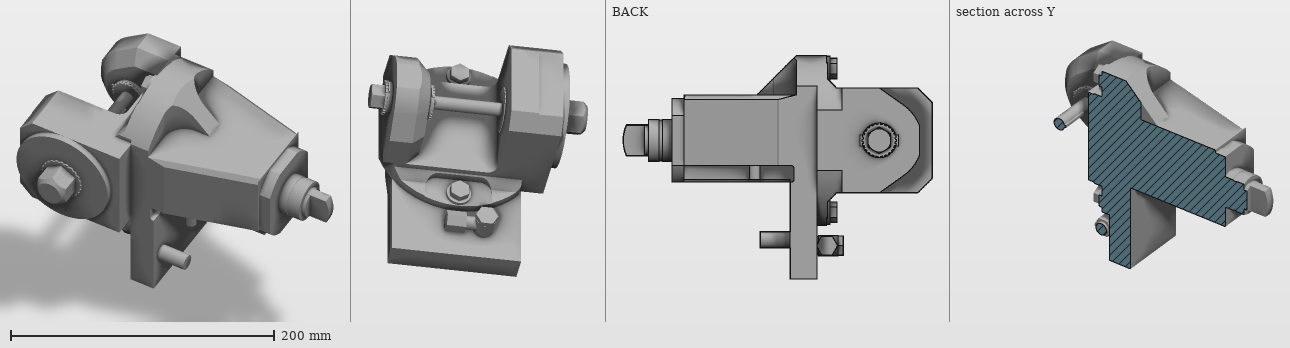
import cadquery as cq
import math


MARGIN = 2.4

PIVOT_X = -47.3
FORK_HALF_HEIGHT = 40.0
FORK_END_X = -87.7
FORK_CORNER = 11.3
NEAR_ARM_STEP = 0.7
NEAR_ARM_Y = (-66.8, -26.3)
NEAR_ARM_STEP_Y = -47.5
FAR_ARM_Y = (33.0, 60.5)
FAR_ARM_END_X = -77.8
FAR_ARM_SHOULDER = (-66.0, 26.5)
FAR_ARM_CHAMFER = 9.9
FAR_ARM_TURNED_X = -19.0
WEB_FACE_X = -19.7
WEB_BACK_X = -14.8
FORK_FILLET = 7.3
FLARE_DEPTH = 7.0
FLARE_NEAR_Y = -47.7

FLANGE_RADIUS = 64.7
FLANGE_FRONT_X = WEB_BACK_X + FLARE_DEPTH
FLANGE_BACK_X = 15.5
PLATE_THICKNESS = 20.5
PLATE_HALF_WIDTH = 49.8
PLATE_BOTTOM_Z = -105.3

BOLT_Z = 54.5
BOLT_POCKET_HALF_WIDTH = 25.9
BOLT_POCKET_FLOOR = 41.0
BOLT_POCKET_RADIUS = 9.5
BOLT_POCKET_FACE_X = -7.0
BOLT_WASHER_RADIUS = 9.5
BOLT_WASHER_FACE_X = -9.9
BOLT_HEAD_FLATS = 13.6
BOLT_HEAD_FACE_X = -15.3

HOUSING_TOP_Z = 34.5
HOUSING_BOTTOM_Z = -31.7
TAPER_START_X = 29.6
TAPER_END_X = 101.0
TAPER_END_HALF_WIDTH = 30.8
HOUSING_BEVEL = 3.5
UNDERCUT_TOP_Z = -19.0
UNDERCUT_START_X = 17.5
UNDERCUT_RADIUS = 2.5
KEEL_HALF_WIDTH = 22.8
KEEL_CHAMFER = 1.9
PIN_X = 47.3
PIN_Y = 39.3
PIN_RADIUS = 4.0
PIN_BOTTOM_Z = -29.9

RIB_HALF_WIDTH = 7.5
RIB_FLARE_RADIUS = 17.6

CAP_END_X = 110.3
CAP_HALF_WIDTH = 29.0
CAP_TOP_Z = 32.0
CAP_RADIUS = 34.5
COLLAR_RADIUS = 16.0
COLLAR_END_X = 128.1
GROOVE_X = (117.3, 120.1)
GROOVE_DEPTH = 0.5
NECK_RADIUS = 11.8
NECK_END_X = 131.0
TONGUE_END_X = 147.5
TONGUE_SHOULDER_X = 144.8
TONGUE_RADIUS = 12.0
TONGUE_HALF_THICKNESS = 3.8

ROD_RADIUS = 5.2
ROD_KEY_Y = (-25.0, 15.3)
ROD_KEY_HEIGHT = 1.5
ROD_KEY_HALF_WIDTH = 1.2
DISC_END_Y = -71.7
LARGE_WASHER_RADIUS = 17.5
LARGE_WASHER_END_Y = -73.1
INNER_WASHER_END_Y = -25.6
LARGE_NUT_FLATS = 24.2
LARGE_NUT_END_Y = -91.0
LARGE_NUT_CHAMFER = 4.2
SMALL_NUT_FLATS = 17.5
SMALL_NUT_END_Y = 75.5
SMALL_NUT_CHAMFER = 1.2
SEAT_RADIUS = 12.5
SEAT_HEIGHT = 2.4
TAB_RADIUS = 13.2
TAB_REACH = 14.8
TAB_HALF_WIDTH = 4.2
TAB_THICKNESS = 1.0
STAR_THICKNESS = 1.9
TOOTH_COUNT = 24
TOOTH_HEIGHT = 1.0

ELBOW_Y = -20.0
ELBOW_Z = -80.0
ELBOW_HEX_FLATS = 14.8
ELBOW_HEX_X = (-20.0, -15.8)
ELBOW_BODY_RADIUS = 7.8
ELBOW_BODY_END_X = -1.2
ELBOW_NECK_RADIUS = 7.0
SIDE_HEX_FLATS = 14.0
SIDE_HEX_X = -7.5
SIDE_HEX_Y = (-5.5, 9.6)
SIDE_TUBE_RADIUS = 5.2
STUB_Y = -38.3
STUB_Z = -75.5
STUB_RADIUS = 6.0
STUB_END_X = 43.3


def block(x, y, z):
    """Box given by its two limits along each axis, in either order."""
    lowest = cq.Vector(min(x), min(y), min(z))
    return cq.Workplane(cq.Solid.makeBox(abs(x[1] - x[0]), abs(y[1] - y[0]), abs(z[1] - z[0]), lowest))


def rod_x(start, end, radius, y=0.0, z=0.0):
    """Cylinder along X."""
    return cq.Workplane("YZ", origin=(start, y, z)).circle(radius).extrude(end - start)


def rod_y(start, end, radius, x=PIVOT_X, z=0.0):
    """Cylinder along Y."""
    return cq.Workplane("XZ", origin=(x, start, z)).circle(radius).extrude(start - end)


def hexagon(plane, origin, flats, length, turn=0.0):
    """Hexagonal prism of the given width across flats."""
    corner_diameter = flats / math.cos(math.pi / 6)
    sketch = cq.Workplane(plane, origin=origin).transformed(rotate=(0, 0, turn))
    return sketch.polygon(6, corner_diameter).extrude(length)


def pivot_nut(start, end, flats, chamfer):
    """Nut on the clamping rod, with its outer corners turned down at 45 degrees."""
    corner_radius = flats / 2 / math.cos(math.pi / 6)
    envelope = rod_y(start, end, corner_radius)
    outer_face = "<Y" if end < start else ">Y"
    envelope = envelope.faces(outer_face).chamfer(chamfer)
    prism = hexagon("XZ", (PIVOT_X, start, 0), flats, start - end, turn=90)
    return prism.intersect(envelope)


def star_washer(start, end, radius):
    """Washer on the clamping rod with teeth around its rim."""
    washer = rod_y(start, end, radius - TOOTH_HEIGHT)
    tooth_width = math.pi * radius / TOOTH_COUNT
    teeth = (
        cq.Workplane("XZ", origin=(PIVOT_X, start, 0))
        .polarArray(radius - TOOTH_HEIGHT, 0, 360, TOOTH_COUNT)
        .rect(2 * TOOTH_HEIGHT, tooth_width)
        .extrude(start - end)
    )
    return washer.union(teeth)


def near_arm():
    """Arm under the large nut, ending slightly shorter on its outer half."""
    height = (-FORK_HALF_HEIGHT, FORK_HALF_HEIGHT)
    arm = block((FORK_END_X, 0), NEAR_ARM_Y, height)
    arm = arm.edges("<X and |Y").chamfer(FORK_CORNER)
    step = block((FORK_END_X, FORK_END_X + NEAR_ARM_STEP), (NEAR_ARM_Y[0], NEAR_ARM_STEP_Y), height)
    return arm.cut(step)


def far_arm():
    """Arm with a round tip, bevelled on its inner side and cut flat at the end."""
    shoulder_x, shoulder_z = FAR_ARM_SHOULDER
    tip_x = PIVOT_X - math.hypot(shoulder_x - PIVOT_X, shoulder_z)
    arm = (
        cq.Workplane("XZ", origin=(0, FAR_ARM_Y[0], 0))
        .moveTo(0, FORK_HALF_HEIGHT)
        .lineTo(PIVOT_X, FORK_HALF_HEIGHT)
        .lineTo(shoulder_x, shoulder_z)
        .threePointArc((tip_x, 0), (shoulder_x, -shoulder_z))
        .lineTo(PIVOT_X, -FORK_HALF_HEIGHT)
        .lineTo(0, -FORK_HALF_HEIGHT)
        .close()
        .extrude(FAR_ARM_Y[0] - FAR_ARM_Y[1])
    )
    arm = arm.faces("<Y").edges("not(>X)").chamfer(FAR_ARM_CHAMFER)
    tip = block((tip_x - MARGIN, FAR_ARM_END_X), FAR_ARM_Y, (-FORK_HALF_HEIGHT, FORK_HALF_HEIGHT))
    return arm.cut(tip)


def fork():
    height = (-FORK_HALF_HEIGHT, FORK_HALF_HEIGHT)
    web = block((WEB_FACE_X, 0), (NEAR_ARM_Y[1], FAR_ARM_Y[1]), height)
    flare_z = FORK_HALF_HEIGHT + FLARE_DEPTH
    flare = (
        cq.Workplane("XZ", origin=(0, FLARE_NEAR_Y, 0))
        .polyline([
            (0, -flare_z), (FLANGE_FRONT_X, -flare_z), (WEB_BACK_X, -FORK_HALF_HEIGHT),
            (WEB_BACK_X, FORK_HALF_HEIGHT), (FLANGE_FRONT_X, flare_z), (0, flare_z),
        ])
        .close()
        .extrude(FLARE_NEAR_Y - FAR_ARM_Y[1])
    )
    root = web.union(flare).union(far_arm()).intersect(rod_x(WEB_FACE_X, 0, FLANGE_RADIUS))
    free_length = far_arm().intersect(block((FORK_END_X, FAR_ARM_TURNED_X), FAR_ARM_Y, height))
    body = near_arm().union(free_length).union(root)
    inner_corner = cq.selectors.BoxSelector(
        (WEB_FACE_X - MARGIN, NEAR_ARM_Y[1] - MARGIN, -MARGIN),
        (WEB_FACE_X + MARGIN, NEAR_ARM_Y[1] + MARGIN, MARGIN),
    )
    return body.edges("|Z").edges(inner_corner).fillet(FORK_FILLET)


def flange_and_plate():
    collar = rod_x(FLANGE_FRONT_X, 0, FLANGE_RADIUS)
    collar = collar.intersect(block(
        (FLANGE_FRONT_X, 0), (FLARE_NEAR_Y, FAR_ARM_Y[1]), (-FLANGE_RADIUS, FLANGE_RADIUS)
    ))
    width = (-PLATE_HALF_WIDTH, PLATE_HALF_WIDTH)
    back = rod_x(0, FLANGE_BACK_X, FLANGE_RADIUS)
    back = back.intersect(block((0, FLANGE_BACK_X), width, (0, FLANGE_RADIUS)))
    plate = block((0, PLATE_THICKNESS), width, (PLATE_BOTTOM_Z, 0))
    return collar.union(back).union(plate)


def bolt_pocket(side):
    """Flat seat for a flange bolt, above (side 1) or below (side -1) the fork."""
    floor = side * BOLT_POCKET_FLOOR
    rim = side * (FLANGE_RADIUS + MARGIN)
    pocket = block(
        (WEB_BACK_X, BOLT_POCKET_FACE_X),
        (-BOLT_POCKET_HALF_WIDTH, BOLT_POCKET_HALF_WIDTH),
        (floor, rim),
    )
    floor_edges = "|X and <Z" if side > 0 else "|X and >Z"
    return pocket.edges(floor_edges).fillet(BOLT_POCKET_RADIUS)


def flange_bolt(side):
    z = side * BOLT_Z
    washer = rod_x(BOLT_WASHER_FACE_X, BOLT_POCKET_FACE_X, BOLT_WASHER_RADIUS, z=z)
    head_length = BOLT_WASHER_FACE_X - BOLT_HEAD_FACE_X
    head = hexagon("YZ", (BOLT_HEAD_FACE_X, 0, z), BOLT_HEAD_FLATS, head_length, turn=90)
    return washer.union(head)


def housing():
    body = (
        cq.Workplane("XY", origin=(0, 0, HOUSING_BOTTOM_Z))
        .polyline([
            (0, -PLATE_HALF_WIDTH), (TAPER_START_X, -PLATE_HALF_WIDTH),
            (TAPER_END_X, -TAPER_END_HALF_WIDTH), (TAPER_END_X, TAPER_END_HALF_WIDTH),
            (TAPER_START_X, PLATE_HALF_WIDTH), (0, PLATE_HALF_WIDTH),
        ])
        .close()
        .extrude(HOUSING_TOP_Z - HOUSING_BOTTOM_Z)
    )
    for side in (-1, 1):
        body = body.cut(taper_bevel(side))
    return body


def taper_bevel(side):
    """Wedge that bevels the top edge of one tapered side, running out on the straight part."""
    run = TAPER_END_X - TAPER_START_X
    drop = PLATE_HALF_WIDTH - TAPER_END_HALF_WIDTH
    taper_length = math.hypot(run, drop)
    overrun = TAPER_START_X
    direction = cq.Vector(run / taper_length, -side * drop / taper_length, 0)
    start = cq.Vector(TAPER_START_X, side * PLATE_HALF_WIDTH, HOUSING_TOP_Z) - direction * overrun
    outward = cq.Vector(drop / taper_length, side * run / taper_length, 0)
    wedge = cq.Workplane(cq.Plane(start, xDir=outward, normal=direction)).polyline([
        (-HOUSING_BEVEL, 0), (HOUSING_BEVEL, -2 * side * HOUSING_BEVEL), (HOUSING_BEVEL, 0)
    ])
    return wedge.close().extrude(overrun + taper_length)


def undercut(side):
    """Relief under one side of the housing, leaving a narrow keel in the middle."""
    inner = side * KEEL_HALF_WIDTH
    outer = side * (PLATE_HALF_WIDTH + MARGIN)
    relief = block(
        (UNDERCUT_START_X, TAPER_END_X),
        (inner, outer),
        (HOUSING_BOTTOM_Z, UNDERCUT_TOP_Z),
    )
    return relief.edges("|Y and <X").fillet(UNDERCUT_RADIUS)


def keel_chamfer(side):
    y = side * KEEL_HALF_WIDTH
    bevel = cq.Workplane("YZ", origin=(PLATE_THICKNESS, 0, 0)).polyline([
        (y, HOUSING_BOTTOM_Z), (y, HOUSING_BOTTOM_Z + KEEL_CHAMFER),
        (y - side * KEEL_CHAMFER, HOUSING_BOTTOM_Z),
    ])
    return bevel.close().extrude(TAPER_END_X - PLATE_THICKNESS)


def pin(side):
    drop = UNDERCUT_TOP_Z - PIN_BOTTOM_Z
    return cq.Workplane("XY", origin=(PIN_X, side * PIN_Y, PIN_BOTTOM_Z)).circle(PIN_RADIUS).extrude(drop)


def rib():
    """Sloping rib from the flange rim down to the housing, flared where it meets the flange."""
    flare_half_width = RIB_HALF_WIDTH + RIB_FLARE_RADIUS
    flare_end_x = FLANGE_BACK_X + RIB_FLARE_RADIUS
    tip_x = FLANGE_BACK_X + FLANGE_RADIUS - HOUSING_TOP_Z
    bend = RIB_FLARE_RADIUS * (1 - math.sqrt(0.5))
    height = FLANGE_RADIUS - HOUSING_TOP_Z
    outline = (
        cq.Workplane("XY", origin=(0, 0, HOUSING_TOP_Z))
        .moveTo(FLANGE_BACK_X, -flare_half_width)
        .threePointArc((FLANGE_BACK_X + bend, -RIB_HALF_WIDTH - bend), (flare_end_x, -RIB_HALF_WIDTH))
        .lineTo(tip_x, -RIB_HALF_WIDTH)
        .lineTo(tip_x, RIB_HALF_WIDTH)
        .lineTo(flare_end_x, RIB_HALF_WIDTH)
        .threePointArc((FLANGE_BACK_X + bend, RIB_HALF_WIDTH + bend), (FLANGE_BACK_X, flare_half_width))
        .close()
        .extrude(height)
    )
    slope = (
        cq.Workplane("XZ", origin=(0, flare_half_width, 0))
        .polyline([(FLANGE_BACK_X, HOUSING_TOP_Z), (tip_x, HOUSING_TOP_Z), (FLANGE_BACK_X, FLANGE_RADIUS)])
        .close()
        .extrude(2 * flare_half_width)
    )
    return outline.intersect(slope).intersect(rod_x(0, tip_x, FLANGE_RADIUS))


def end_cap():
    cap = block(
        (TAPER_END_X, CAP_END_X), (-CAP_HALF_WIDTH, CAP_HALF_WIDTH), (HOUSING_BOTTOM_Z, CAP_TOP_Z)
    )
    return cap.intersect(rod_x(TAPER_END_X, CAP_END_X, CAP_RADIUS))


def shaft():
    collar = rod_x(CAP_END_X, GROOVE_X[0], COLLAR_RADIUS)
    collar = collar.union(rod_x(GROOVE_X[0], GROOVE_X[1], COLLAR_RADIUS - GROOVE_DEPTH))
    collar = collar.union(rod_x(GROOVE_X[1], COLLAR_END_X, COLLAR_RADIUS))
    neck = rod_x(COLLAR_END_X, NECK_END_X, NECK_RADIUS)
    dome_height = TONGUE_END_X - TONGUE_SHOULDER_X
    dome_radius = (TONGUE_RADIUS**2 + dome_height**2) / (2 * dome_height)
    middle_z = TONGUE_RADIUS / 2
    dome_middle = (TONGUE_END_X - dome_radius + math.sqrt(dome_radius**2 - middle_z**2), middle_z)
    spindle = (
        cq.Workplane("XZ")
        .moveTo(COLLAR_END_X, 0)
        .lineTo(COLLAR_END_X, TONGUE_RADIUS)
        .lineTo(TONGUE_SHOULDER_X, TONGUE_RADIUS)
        .threePointArc(dome_middle, (TONGUE_END_X, 0))
        .close()
        .revolve(360, (0, 0, 0), (1, 0, 0))
    )
    tongue = spindle.intersect(block(
        (COLLAR_END_X, TONGUE_END_X),
        (-TONGUE_HALF_THICKNESS, TONGUE_HALF_THICKNESS),
        (-TONGUE_RADIUS, TONGUE_RADIUS),
    ))
    return collar.union(neck).union(tongue)


def far_arm_washers(face, direction):
    """Seat, tab washer and star washer stacked outward from one face of the far arm."""
    seat_end = face + direction * SEAT_HEIGHT
    tab_end = seat_end + direction * TAB_THICKNESS
    star_end = tab_end + direction * STAR_THICKNESS
    tab = block(
        (PIVOT_X - TAB_REACH, PIVOT_X + TAB_REACH),
        (seat_end, tab_end),
        (-TAB_HALF_WIDTH, TAB_HALF_WIDTH),
    )
    stack = rod_y(face, seat_end, SEAT_RADIUS).union(rod_y(seat_end, tab_end, TAB_RADIUS))
    return stack.union(tab).union(star_washer(tab_end, star_end, TAB_RADIUS))


def clamping_rod():
    near_outer, near_inner = NEAR_ARM_Y
    far_inner, far_outer = FAR_ARM_Y
    rod = rod_y(near_inner, far_inner, ROD_RADIUS)
    key = block(
        (PIVOT_X, PIVOT_X + ROD_RADIUS + ROD_KEY_HEIGHT),
        ROD_KEY_Y,
        (-ROD_KEY_HALF_WIDTH, ROD_KEY_HALF_WIDTH),
    )
    disc = rod_y(near_outer, DISC_END_Y, FORK_HALF_HEIGHT)
    outer_washer = star_washer(DISC_END_Y, LARGE_WASHER_END_Y, LARGE_WASHER_RADIUS)
    inner_washer = star_washer(near_inner, INNER_WASHER_END_Y, LARGE_WASHER_RADIUS)
    large_nut = pivot_nut(LARGE_WASHER_END_Y, LARGE_NUT_END_Y, LARGE_NUT_FLATS, LARGE_NUT_CHAMFER)
    stack_height = SEAT_HEIGHT + TAB_THICKNESS + STAR_THICKNESS
    small_nut = pivot_nut(far_outer + stack_height, SMALL_NUT_END_Y, SMALL_NUT_FLATS, SMALL_NUT_CHAMFER)
    assembly = rod.union(key).union(disc).union(outer_washer).union(inner_washer)
    assembly = assembly.union(large_nut).union(small_nut)
    assembly = assembly.union(far_arm_washers(far_outer, 1))
    return assembly.union(far_arm_washers(far_inner, -1))


def elbow_fitting():
    hex_start, hex_end = ELBOW_HEX_X
    elbow_hex = hexagon("YZ", (hex_start, ELBOW_Y, ELBOW_Z), ELBOW_HEX_FLATS, hex_end - hex_start)
    elbow_body = rod_x(hex_end, ELBOW_BODY_END_X, ELBOW_BODY_RADIUS, ELBOW_Y, ELBOW_Z)
    neck = rod_x(ELBOW_BODY_END_X, 0, ELBOW_NECK_RADIUS, ELBOW_Y, ELBOW_Z)
    side_length = SIDE_HEX_Y[1] - SIDE_HEX_Y[0]
    side_hex = hexagon("XZ", (SIDE_HEX_X, SIDE_HEX_Y[1], ELBOW_Z), SIDE_HEX_FLATS, side_length)
    tube = rod_y(ELBOW_Y, SIDE_HEX_Y[0], SIDE_TUBE_RADIUS, SIDE_HEX_X, ELBOW_Z)
    return elbow_hex.union(elbow_body).union(neck).union(side_hex).union(tube)


def pipe_stub():
    return rod_x(PLATE_THICKNESS, STUB_END_X, STUB_RADIUS, STUB_Y, STUB_Z)


body = fork().union(flange_and_plate()).union(housing())
for side in (-1, 1):
    body = body.cut(bolt_pocket(side)).union(flange_bolt(side))
    body = body.cut(undercut(side)).cut(keel_chamfer(side)).union(pin(side))
for piece in (rib(), end_cap(), shaft(), clamping_rod(), elbow_fitting(), pipe_stub()):
    body = body.union(piece)

result = body